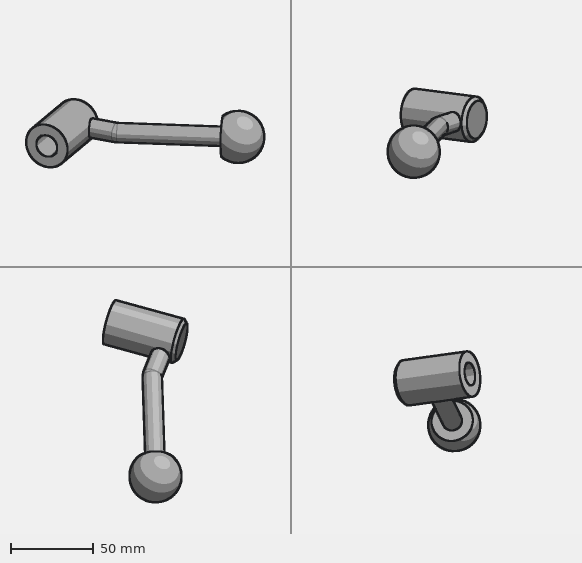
import cadquery as cq
import math

hub_diameter = 28.0
hub_length = 46.0
hub_chamfer = 2.3
bore_diameter = 14.0
bore_depth = 28.5
drill_point_angle = 118.0

arm_diameter = 12.0
arm_height = 36.9
arm_angle = 20.0
bend_radius = 3.1
ball_diameter = 32.0
ball_flat_distance = 9.7
overall_length = 129.5
overall_height = 78.3

ball_radius = ball_diameter / 2
ball_x = overall_length - hub_diameter / 2 - ball_radius
ball_y = overall_height - ball_radius
tilt = math.radians(arm_angle)
arm_direction = cq.Vector(math.cos(tilt), math.sin(tilt), 0)
arm_rise = ball_y - arm_height
corner = cq.Vector(ball_x - arm_rise / math.tan(tilt), arm_height, 0)
bend_setback = bend_radius * math.tan(tilt / 2)
bend_start = corner - cq.Vector(bend_setback, 0, 0)
bend_end = corner + arm_direction * bend_setback
ball_center = cq.Vector(ball_x, ball_y, 0)


def make_hub():
    """Barrel with a chamfer around its closed end."""
    barrel = cq.Workplane("XZ").circle(hub_diameter / 2).extrude(-hub_length)
    return barrel.faces(">Y").chamfer(hub_chamfer)


def make_bore():
    """Blind hole from the open end, finished with a drill point."""
    radius = bore_diameter / 2
    point_depth = radius / math.tan(math.radians(drill_point_angle / 2))
    profile = (
        cq.Workplane("XY")
        .lineTo(radius, 0)
        .lineTo(radius, bore_depth)
        .lineTo(0, bore_depth + point_depth)
        .close()
    )
    return profile.revolve(360, (0, 0, 0), (0, 1, 0))


def make_bar(start, end):
    """Straight round bar between two points."""
    span = end - start
    return cq.Workplane(cq.Plane(origin=start, normal=span)).circle(arm_diameter / 2).extrude(span.Length)


def make_bend():
    """Round elbow; its turning axis lies inside the bar, so only the section outside the axis turns."""
    radius = arm_diameter / 2
    half_chord = math.sqrt(radius**2 - bend_radius**2)
    section = (
        cq.Workplane("YZ", origin=bend_start)
        .moveTo(bend_radius, -half_chord)
        .threePointArc((-radius, 0), (bend_radius, half_chord))
        .close()
    )
    return section.revolve(arm_angle, (bend_radius, 0), (bend_radius, 1))


def make_arm():
    """Cranked bar from the hub axis to the ball centre."""
    hub_axis_point = cq.Vector(0, arm_height, 0)
    lower_bar = make_bar(hub_axis_point, bend_start)
    upper_bar = make_bar(bend_end, ball_center)
    return lower_bar.union(make_bend()).union(upper_bar)


def make_ball():
    """Ball turned about the arm axis, with a flat facing the arm and square to it."""
    flat_radius = math.sqrt(ball_radius**2 - ball_flat_distance**2)
    turning_plane = cq.Plane(origin=ball_center, xDir=arm_direction, normal=(0, 0, 1))
    profile = (
        cq.Workplane(turning_plane)
        .moveTo(-ball_flat_distance, 0)
        .lineTo(-ball_flat_distance, flat_radius)
        .threePointArc((0, ball_radius), (ball_radius, 0))
        .close()
    )
    return profile.revolve(360, (0, 0), (1, 0))


result = make_hub().union(make_arm()).union(make_ball()).cut(make_bore())